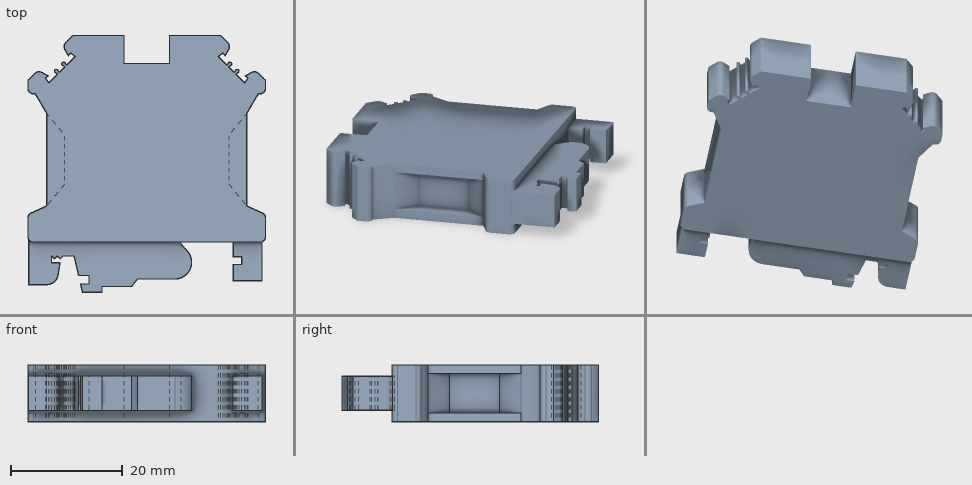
import cadquery as cq
import math


length = 45.9
thickness = 10.2
half_width = 21.25
top_y = 36.95
corner_radius = 1.0

notch_half_width = 4.05
notch_depth = 5.0
notch_corner_radius = 0.2

waist_half_width = 17.9
waist_bottom_y = 6.47
waist_top_y = 23.05
base_side_y = 4.95
shoulder_bottom_y = 26.5
shoulder_bottom_x = 19.92

recess_x = 15.15
recess_y = 30.85
recess_half_length = 3.3
undercut_half_length = 3.15
undercut_height = 1.0
lip_half_gap = 2.53
lip_tip_height = 0.9
lip_corner_half_length = 3.1
lip_corner_height = 2.95

peg_offset = 0.9
peg_height = 0.5
peg_radius = 0.345
peg_neck_width = 0.5

pocket_thickness = 7.05
pocket_depth = 3.15
pocket_slope_length = 3.8

foot_thickness = 6.1
foot_overlap = 1.0
foot_left_x = -21.1
clamp_bottom_y = -7.6
clamp_corner_x = -16.1
clamp_corner_radius = 2.1
clamp_lip_x = -15.45
clamp_lip_y = -3.65
slot_left_x = -17.0
slot_roof_y = -2.5
tooth_pitch = 1.0
tooth_height = 0.5
tooth_count = 2
slot_right_x = -13.0
ledge_x = -12.2
ledge_y = -5.95
groove_end_x = -10.35
groove_bottom_y = -7.45
toe_left_x = -11.85
toe_tip_x = -11.52
toe_right_x = -8.0
toe_bottom_y = top_y - length
sole_y = -7.95
sole_right_x = -2.7
arm_bottom_y = -6.6
arm_left_x = -1.65
nose_x = 5.0
nose_radius = 3.05
nose_end_angle = math.radians(39)
neck_x = 6.15
neck_y = -0.35

hook_left_x = 15.43
hook_right_x = 20.6
hook_bottom_y = -6.95
hook_groove_top_y = -2.6
hook_groove_bottom_y = -3.95
hook_groove_depth = 1.5


def slab(outline, height):
    """Extrude a closed outline to a slab centred on Z = 0."""
    return outline.close().extrude(height / 2, both=True)


def round_corner(body, corner, radius):
    """Round the Z edge of the body at an outline corner."""
    nearest = cq.selectors.NearestToPointSelector((corner[0], corner[1], 0))
    return body.edges("|Z").edges(nearest).fillet(radius)


def recess_point(along, out):
    """Point of the right recess: along its floor (downwards to the right) and out from it."""
    diagonal = math.sqrt(0.5)
    return (recess_x + (along + out) * diagonal, recess_y + (out - along) * diagonal)


def recess_side(side):
    """One end of the recess, from the outer lip corner to the floor; side is -1 (upper) or 1 (lower)."""
    return [
        recess_point(side * lip_corner_half_length, lip_corner_height),
        recess_point(side * lip_half_gap, lip_tip_height),
        recess_point(side * undercut_half_length, undercut_height),
        recess_point(side * recess_half_length, 0),
    ]


def make_peg(along):
    """Marker peg: a round head on a narrow neck rooted in the recess floor."""
    head_x, head_y = recess_point(along, peg_height)
    head = cq.Workplane("XY").center(head_x, head_y).circle(peg_radius).extrude(thickness / 2, both=True)
    neck = (
        cq.Workplane("XY")
        .box(2 * peg_height, peg_neck_width, thickness)
        .rotate((0, 0, 0), (0, 0, 1), 45)
        .translate((*recess_point(along, 0), 0))
    )
    return head.union(neck)


def make_half_housing():
    """Right half of the housing, without its pocket."""
    upper_lip = recess_side(-1)
    lower_lip = recess_side(1)

    flat_sum = sum(upper_lip[0])
    top_corner = (flat_sum - top_y, top_y)
    side_corner = (half_width, flat_sum - half_width)

    notch_corner = (notch_half_width, top_y)
    shoulder_corner = (half_width, shoulder_bottom_y)
    base_top_corner = (half_width, base_side_y)
    base_bottom_corner = (half_width, 0)
    outline = [
        (0, 0),
        (0, top_y - notch_depth),
        (notch_half_width, top_y - notch_depth),
        notch_corner,
        top_corner,
        *upper_lip,
        *reversed(lower_lip),
        side_corner,
        shoulder_corner,
        (shoulder_bottom_x, shoulder_bottom_y),
        (waist_half_width, waist_top_y),
        (waist_half_width, waist_bottom_y),
        base_top_corner,
        base_bottom_corner,
    ]
    half = slab(cq.Workplane("XY").polyline(outline), thickness)
    for corner in (upper_lip[0], lower_lip[0], shoulder_corner, base_top_corner, base_bottom_corner):
        half = round_corner(half, corner, corner_radius)
    half = round_corner(half, notch_corner, notch_corner_radius)
    for along in (-peg_offset, peg_offset):
        half = half.union(make_peg(along))
    return half


def make_pocket():
    """Cutter for the right pocket, with a flat floor between two sloping ends."""
    floor_x = waist_half_width - pocket_depth
    outline = [
        (waist_half_width, waist_bottom_y),
        (floor_x, waist_bottom_y + pocket_slope_length),
        (floor_x, waist_top_y - pocket_slope_length),
        (waist_half_width, waist_top_y),
    ]
    return slab(cq.Workplane("XY").polyline(outline), pocket_thickness)


def make_foot():
    """Clamp, toe and round-nosed arm of the rail foot."""
    teeth = []
    for index in range(tooth_count):
        tooth_x = slot_left_x + index * tooth_pitch
        teeth.append((tooth_x, slot_roof_y))
        teeth.append((tooth_x + tooth_pitch / 2, slot_roof_y - tooth_height))
    teeth.append((slot_left_x + tooth_count * tooth_pitch, slot_roof_y))

    nose_y = arm_bottom_y + nose_radius
    nose_end = (
        nose_x + nose_radius * math.cos(nose_end_angle),
        nose_y + nose_radius * math.sin(nose_end_angle),
    )
    clamp_corner = (clamp_corner_x, clamp_bottom_y)
    start_to_nose = [
        (foot_left_x, foot_overlap),
        (foot_left_x, clamp_bottom_y),
        clamp_corner,
        (clamp_lip_x, clamp_lip_y),
        (slot_left_x, clamp_lip_y),
        *teeth,
        (slot_right_x, slot_roof_y),
        (ledge_x, ledge_y),
        (groove_end_x, ledge_y),
        (groove_end_x, groove_bottom_y),
        (toe_left_x, groove_bottom_y),
        (toe_tip_x, toe_bottom_y),
        (toe_right_x, toe_bottom_y),
        (toe_right_x, sole_y),
        (sole_right_x, sole_y),
        (arm_left_x, arm_bottom_y),
        (nose_x, arm_bottom_y),
    ]
    outline = (
        cq.Workplane("XY")
        .polyline(start_to_nose)
        .threePointArc((nose_x + nose_radius, nose_y), nose_end)
        .lineTo(neck_x, neck_y)
        .lineTo(neck_x, foot_overlap)
    )
    return round_corner(slab(outline, foot_thickness), clamp_corner, clamp_corner_radius)


def make_hook():
    """Fixed rail hook with a square groove facing the clamp."""
    groove_end = hook_left_x + hook_groove_depth
    outline = [
        (hook_left_x, foot_overlap),
        (hook_left_x, hook_groove_top_y),
        (groove_end, hook_groove_top_y),
        (groove_end, hook_groove_bottom_y),
        (hook_left_x, hook_groove_bottom_y),
        (hook_left_x, hook_bottom_y),
        (hook_right_x, hook_bottom_y),
        (hook_right_x, foot_overlap),
    ]
    return slab(cq.Workplane("XY").polyline(outline), foot_thickness)


right_half = make_half_housing().cut(make_pocket())
housing = right_half.union(right_half.mirror("YZ"))
result = housing.union(make_foot()).union(make_hook()).clean()